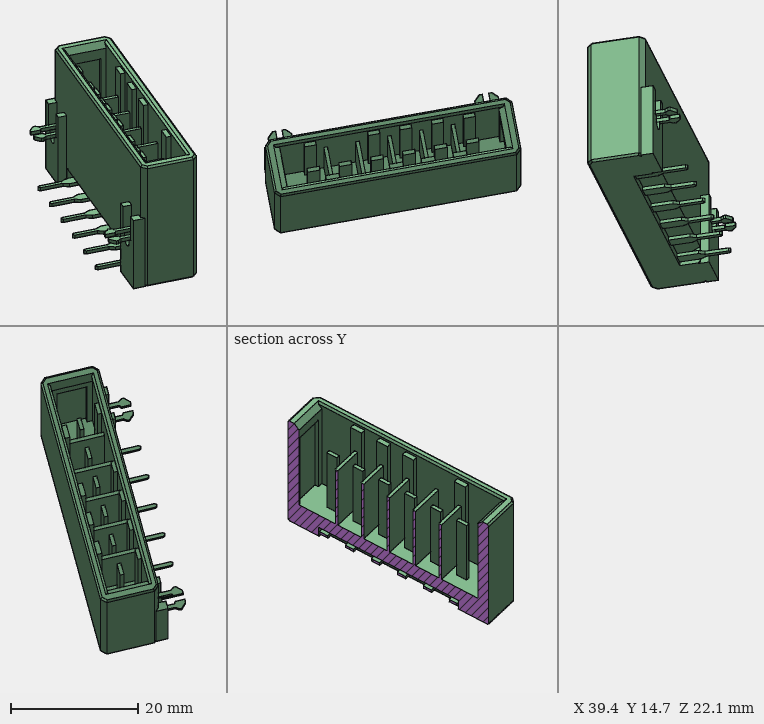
import cadquery as cq

length = 39.4
depth = 9.4
height = 22.1
corner_chamfer = 0.83
rim_chamfer = 0.3

long_wall = 1.38
end_wall = 2.2
floor_z = 4.73
long_lead_inset = 0.4
end_lead = 0.95
long_lead_height = 0.28

pocket_depth = 0.67
pocket_margin = 0.9
pocket_top = 19.35

contact_count = 6
pitch = 5.1
contact_width = 1.97
contact_thickness = 0.65
contact_y = 4.57
contact_top = 16.7
divider_thickness = 0.6
divider_top = 16.7
key_top = 21.4
rib_width = 2.15
rib_depth = 0.83
block_width = 1.85
block_depth = 0.65
plain_divider = 3
open_contact = 4

undercut_length = 27.25
undercut_depth = 3.3
undercut_low_z = 1.3
undercut_high_z = 2.95

leg_reach = 5.25
leg_low_z = 0.6
leg_thickness = 0.6
leg_width = 0.65
leg_shoulder_width = 1.6
leg_tip_width = 0.2
leg_tip_length = 0.3
shoulder_start = 0.25
shoulder_end = 1.15

pad_width = 5.6
pad_height = 12.55
pad_front = 1.4
pad_back = 0.6
pad_end_gap = 0.28
clip_x = 16.5
clip_low_z = 8.15
clip_thickness = 0.65
wide_slot = 3.2
narrow_slot = 1.85
slot_bottom = 6.4

clip_leg_inner = 0.85
clip_leg_width = 0.65
barb_inner = 0.5
barb_outer = 1.9
barb_tip_outer = 1.02
inner_step_start = 2.95
inner_step_end = 3.2
outer_flare_start = 3.0
outer_flare_end = 3.55
barb_nose_start = 3.9
clip_reach = 4.75

cavity_length = length - 2 * end_wall
cavity_back = depth - long_wall
contact_xs = [(i - (contact_count - 1) / 2) * pitch for i in range(contact_count)]
divider_xs = [x + pitch / 2 for x in contact_xs[:-1]]


def box(x0, x1, y0, y1, z0, z1):
    """Box between opposite corners."""
    return cq.Workplane("XY").box(x1 - x0, y1 - y0, z1 - z0, centered=False).translate((x0, y0, z0))


def make_shell():
    """Chamfered block with its cavity, lead-in and end pockets."""
    shell = box(-length / 2, length / 2, 0, depth, 0, height)
    shell = shell.edges("|Z").chamfer(corner_chamfer)
    shell = shell.faces("<Z or >Z").chamfer(rim_chamfer)

    cavity_end = cavity_length / 2
    shell = shell.cut(box(-cavity_end, cavity_end, long_wall, cavity_back, floor_z, height))

    end_taper = (
        cq.Workplane("XZ")
        .polyline([
            (-cavity_end, floor_z),
            (cavity_end, floor_z),
            (cavity_end, height - end_lead),
            (cavity_end + end_lead, height),
            (-cavity_end - end_lead, height),
            (-cavity_end, height - end_lead),
        ])
        .close()
        .extrude(-depth)
    )
    long_taper = (
        cq.Workplane("YZ")
        .polyline([
            (long_wall, floor_z),
            (cavity_back, floor_z),
            (cavity_back, height - long_lead_height),
            (cavity_back + long_lead_inset, height),
            (long_wall - long_lead_inset, height),
            (long_wall, height - long_lead_height),
        ])
        .close()
        .extrude(length / 2, both=True)
    )
    shell = shell.cut(end_taper.intersect(long_taper))

    pocket_end = cavity_end + pocket_depth
    pockets = box(
        -pocket_end, pocket_end,
        long_wall + pocket_margin, cavity_back - pocket_margin,
        floor_z, pocket_top,
    )
    return shell.cut(pockets)


def make_undercut():
    """Sloped relief above the solder legs."""
    return (
        cq.Workplane("YZ")
        .polyline([
            (0, 0),
            (undercut_depth, 0),
            (undercut_depth, undercut_low_z),
            (0, undercut_high_z),
        ])
        .close()
        .extrude(undercut_length / 2, both=True)
    )


def centered_post(x, width, y0, y1, top):
    """Upright post on the cavity floor, centered on x."""
    return box(x - width / 2, x + width / 2, y0, y1, floor_z, top)


def make_solder_leg(x):
    """Flat leg that narrows from a wide shoulder to a pointed tip."""
    right_side = [
        (leg_shoulder_width / 2, undercut_depth),
        (leg_shoulder_width / 2, -shoulder_start),
        (leg_width / 2, -shoulder_end),
        (leg_width / 2, leg_tip_length - leg_reach),
        (leg_tip_width / 2, -leg_reach),
    ]
    left_side = [(-px, py) for px, py in reversed(right_side)]
    leg = cq.Workplane("XY").polyline(right_side + left_side).close().extrude(leg_thickness)
    return leg.translate((x, 0, leg_low_z))


def make_pad(side):
    """Mounting pad at one end, slotted from the top down to a round bottom."""
    outer = length / 2 - pad_end_gap
    x0, x1 = sorted([side * outer, side * (outer - pad_width)])
    pad = box(x0, x1, -pad_front, pad_back, 0, pad_height)
    center = side * clip_x
    wide = box(center - wide_slot / 2, center + wide_slot / 2, -pad_front, 0, clip_low_z, pad_height)
    radius = narrow_slot / 2
    narrow = (
        cq.Workplane("XZ")
        .moveTo(center - radius, clip_low_z)
        .lineTo(center - radius, slot_bottom + radius)
        .threePointArc((center, slot_bottom), (center + radius, slot_bottom + radius))
        .lineTo(center + radius, clip_low_z)
        .close()
        .extrude(pad_front)
    )
    return pad.cut(wide).cut(narrow)


def make_clip(side):
    """Pair of mirrored barbed legs that snap into a board."""
    leg_outer = clip_leg_inner + clip_leg_width
    barbed_leg = (
        cq.Workplane("XY")
        .polyline([
            (clip_leg_inner, pad_back),
            (leg_outer, pad_back),
            (leg_outer, -outer_flare_start),
            (barb_outer, -outer_flare_end),
            (barb_outer, -barb_nose_start),
            (barb_tip_outer, -clip_reach),
            (barb_inner, -clip_reach),
            (barb_inner, -inner_step_end),
            (clip_leg_inner, -inner_step_start),
        ])
        .close()
        .extrude(clip_thickness)
    )
    pair = barbed_leg.union(barbed_leg.mirror("YZ"))
    return pair.translate((side * clip_x, 0, clip_low_z))


body = make_shell()
for side in (-1, 1):
    body = body.union(make_pad(side)).union(make_clip(side))
body = body.cut(make_undercut())

for i, x in enumerate(divider_xs):
    body = body.union(centered_post(x, divider_thickness, long_wall, cavity_back, divider_top))
    if i != plain_divider:
        body = body.union(centered_post(x, rib_width, cavity_back - rib_depth, cavity_back, key_top))

contact_front = contact_y - contact_thickness / 2
for i, x in enumerate(contact_xs):
    body = body.union(
        centered_post(x, contact_width, contact_front, contact_front + contact_thickness, contact_top)
    )
    if i != open_contact:
        body = body.union(centered_post(x, block_width, long_wall, long_wall + block_depth, key_top))
    body = body.union(make_solder_leg(x))

result = body